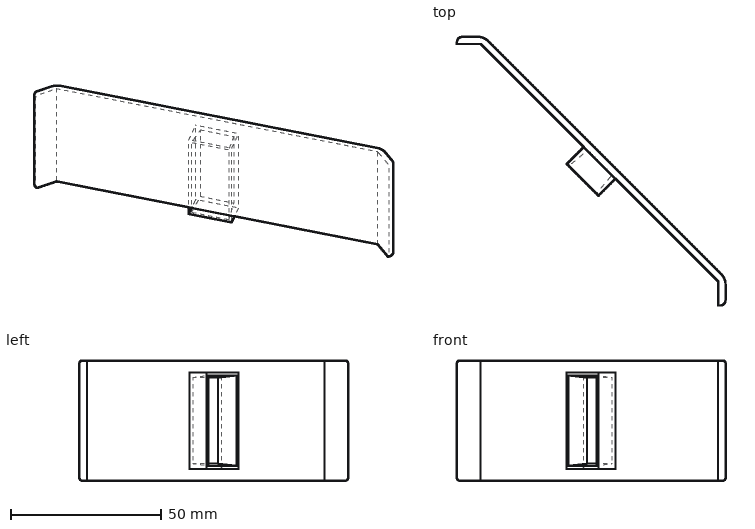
import cadquery as cq
import math

span = 89.5
plate_height = 40.0
thickness = 2.5
flange_length = 8.0
bend_angle = 45.0
bend_radius = 5.0
end_radius = 2.0
edge_radius = 1.0

box_width = 14.95
box_height = 32.0
box_depth = 8.0
box_wall = 1.0
pocket_draft = 5.0

half = span / 2
inner = half - thickness
inner_bend = half - flange_length
outer_bend = inner_bend - thickness * math.tan(math.radians(bend_angle / 2))


def make_plate():
    """Flat plate with a flange bent at each end, symmetric about the line y = x."""
    plate = (
        cq.Workplane("XY")
        .polyline([
            (-half, half),
            (-outer_bend, half),
            (half, -outer_bend),
            (half, -half),
            (inner, -half),
            (inner, -inner_bend),
            (-inner_bend, inner),
            (-half, inner),
        ])
        .close()
        .extrude(plate_height / 2, both=True)
    )
    for x, y in [(-outer_bend, half), (half, -outer_bend)]:
        plate = plate.edges(cq.selectors.NearestToPointSelector((x, y, 0))).fillet(bend_radius)
    for x, y in [(-half, half), (half, -half)]:
        plate = plate.edges(cq.selectors.NearestToPointSelector((x, y, 0))).fillet(end_radius)
    for z in (-plate_height / 2, plate_height / 2):
        plate = plate.edges(cq.selectors.NearestToPointSelector((half, half, z))).fillet(edge_radius)
    return plate


face_middle = (inner - inner_bend) / 2
inner_face = cq.Plane(origin=(face_middle, face_middle, 0), xDir=(1, -1, 0), normal=(-1, -1, 0))


def make_box():
    """Solid box standing on the inner face, rooted halfway into the plate."""
    root = thickness / 2
    return (
        cq.Workplane(inner_face)
        .workplane(offset=-root)
        .rect(box_width, box_height)
        .extrude(box_depth + root)
    )


def make_pocket():
    """Drafted pocket from the mouth of the box down to the plate surface."""
    return (
        cq.Workplane(inner_face)
        .workplane(offset=box_depth)
        .rect(box_width - 2 * box_wall, box_height - 2 * box_wall)
        .extrude(-box_depth, taper=pocket_draft)
    )


result = make_plate().union(make_box()).cut(make_pocket())